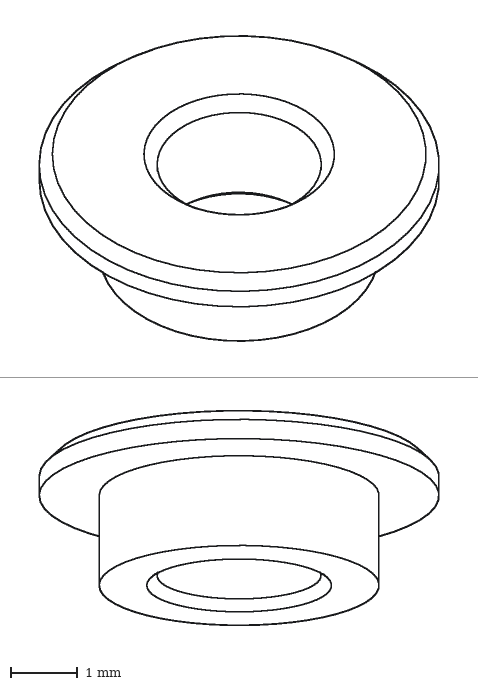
import cadquery as cq

flange_diameter = 6.0
barrel_diameter = 4.2
bore_diameter = 2.46
total_height = 1.9
flange_thickness = 0.5
edge_chamfer = 0.2
lower_bore_chamfer = 0.155

barrel_height = total_height - flange_thickness

barrel = cq.Workplane("XY").circle(barrel_diameter / 2).extrude(barrel_height)
flange = (
    cq.Workplane("XY")
    .workplane(offset=barrel_height)
    .circle(flange_diameter / 2)
    .extrude(flange_thickness)
)

bore = cq.Workplane("XY").circle(bore_diameter / 2).extrude(total_height)
bushing = barrel.union(flange).cut(bore)

bushing = bushing.faces(">Z").edges().chamfer(edge_chamfer)

result = bushing.faces("<Z").edges(cq.selectors.RadiusNthSelector(0)).chamfer(lower_bore_chamfer)